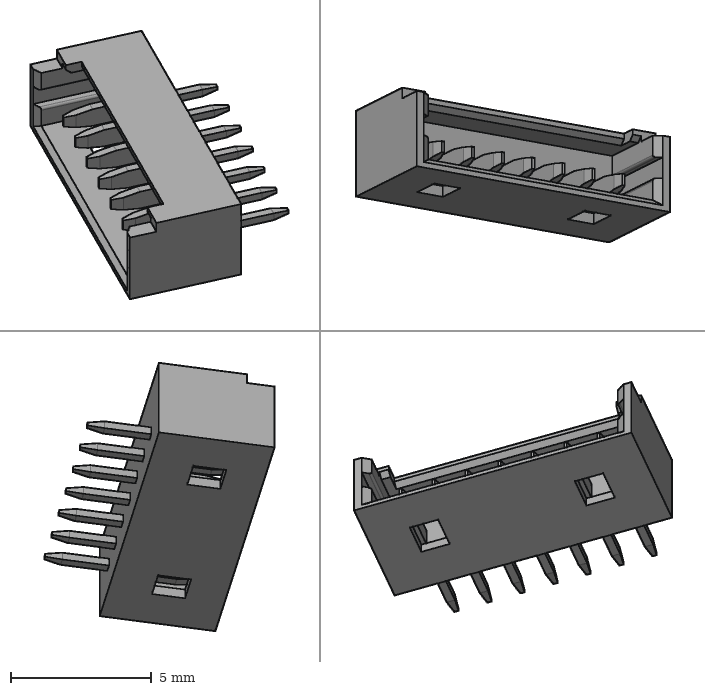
import cadquery as cq

LENGTH = 10.5
DEPTH = 4.2
HEIGHT = 3.2
BACK_WALL = 1.2
FLOOR = 0.4
ROOF = 0.4
SIDE_WALL = 0.6

LEAD_IN = 0.2
MOUTH_SIDE_WALL = 0.29

ROOF_SETBACK = 1.0
NOTCH_SETBACK = 1.6
EAR_LENGTH = 0.95

GROOVE_BOTTOM = 1.22
GROOVE_TOP = 2.0
GROOVE_LIP_RADIUS = 0.09

SLOT_WIDTH = 1.07
SLOT_FRONT = 1.43
SLOT_LENGTH = 1.2

PIN_COUNT = 7
PIN_PITCH = 1.25
PIN_Z = 1.15
PIN_WIDTH = 0.32
TAIL_LENGTH = 2.3
TAIL_TAPER = 0.6
TAIL_TIP_WIDTH = 0.16
TAIL_TIP_HEIGHT = 0.14
BLADE_HEIGHT = 0.76
BLADE_TIP_Y = 0.7
BLADE_TIP_WIDTH = 0.1
BLADE_TIP_HEIGHT = 0.42
BLADE_SIDE_TAPER = 0.42
BLADE_EDGE_TAPER = 1.05

CAVITY_BACK = DEPTH - BACK_WALL
CAVITY_TOP = HEIGHT - ROOF
CAVITY_WIDTH = LENGTH - 2 * SIDE_WALL
MOUTH_WIDTH = LENGTH - 2 * MOUTH_SIDE_WALL


def block(width, y_min, y_max, z_min, z_max, x_center=0.0):
    """Box centred on x_center, given by its limits in Y and Z."""
    return (
        cq.Workplane("XY")
        .box(width, y_max - y_min, z_max - z_min, centered=(True, False, False))
        .translate((x_center, y_min, z_min))
    )


def prism_along_x(width, yz_points):
    """Outline in the YZ plane, extruded symmetrically about X = 0."""
    return cq.Workplane("YZ").polyline(yz_points).close().extrude(width / 2, both=True)


def prism_along_z(height, xy_points):
    """Outline in the XY plane, extruded symmetrically about Z = 0."""
    return cq.Workplane("XY").polyline(xy_points).close().extrude(height / 2, both=True)


def mouth_lead_in():
    """Flare at the mating face, open at the top because the roof is set back."""
    mouth_floor = FLOOR - LEAD_IN
    flare_top = HEIGHT
    return (
        cq.Workplane("XZ")
        .center(0, (mouth_floor + flare_top) / 2)
        .rect(MOUTH_WIDTH, flare_top - mouth_floor)
        .workplane(offset=-LEAD_IN)
        .center(0, LEAD_IN / 2)
        .rect(CAVITY_WIDTH, flare_top - FLOOR)
        .loft()
    )


def roof_bevel(width, edge_y):
    """Bevel on the lower front edge of the roof."""
    bevel_points = [
        (edge_y, CAVITY_TOP),
        (edge_y, CAVITY_TOP + LEAD_IN),
        (edge_y + LEAD_IN, CAVITY_TOP),
    ]
    return prism_along_x(width, bevel_points)


def keying_grooves():
    """Both grooves as one wide bar, with the lips left by the rounded rib edges."""
    groove = block(MOUTH_WIDTH, 0, CAVITY_BACK, GROOVE_BOTTOM, GROOVE_TOP)
    for side in (-1, 1):
        for lip_z, inward in ((GROOVE_BOTTOM, 1), (GROOVE_TOP, -1)):
            rib_edge_x = side * CAVITY_WIDTH / 2
            lip = block(
                2 * GROOVE_LIP_RADIUS, 0, CAVITY_BACK,
                lip_z - GROOVE_LIP_RADIUS, lip_z + GROOVE_LIP_RADIUS, rib_edge_x,
            )
            round_edge = (
                cq.Workplane("XZ")
                .center(rib_edge_x + side * GROOVE_LIP_RADIUS, lip_z - inward * GROOVE_LIP_RADIUS)
                .circle(GROOVE_LIP_RADIUS)
                .extrude(-CAVITY_BACK)
            )
            groove = groove.union(lip.cut(round_edge))
    return groove


def housing():
    body = block(LENGTH, 0, DEPTH, 0, HEIGHT)
    body = body.cut(block(CAVITY_WIDTH, 0, CAVITY_BACK, FLOOR, CAVITY_TOP))
    body = body.cut(block(LENGTH, 0, ROOF_SETBACK, CAVITY_TOP, HEIGHT))
    notch_width = LENGTH - 2 * EAR_LENGTH
    body = body.cut(block(notch_width, 0, NOTCH_SETBACK, CAVITY_TOP, HEIGHT))
    body = body.cut(roof_bevel(CAVITY_WIDTH, ROOF_SETBACK))
    body = body.cut(roof_bevel(notch_width, NOTCH_SETBACK))
    body = body.cut(mouth_lead_in())
    body = body.cut(keying_grooves())
    slot_offset = (PIN_COUNT / 2 - 1) * PIN_PITCH
    for slot_x in (-slot_offset, slot_offset):
        body = body.cut(block(SLOT_WIDTH, SLOT_FRONT, SLOT_FRONT + SLOT_LENGTH, 0, FLOOR, slot_x))
    return body


def tapered_outline(half_base, half_tip, base_y, taper_y, tip_y):
    """Symmetric bar outline that narrows from taper_y to tip_y."""
    return [
        (-half_base, base_y),
        (-half_base, taper_y),
        (-half_tip, tip_y),
        (half_tip, tip_y),
        (half_base, taper_y),
        (half_base, base_y),
    ]


def tapered_bar(width, height, tip_width, tip_height, base_y, side_taper_y, edge_taper_y, tip_y):
    """Bar along Y that tapers both in width and in height."""
    plan = tapered_outline(width / 2, tip_width / 2, base_y, side_taper_y, tip_y)
    profile = tapered_outline(height / 2, tip_height / 2, base_y, edge_taper_y, tip_y)
    profile_yz = [(y, z) for z, y in profile]
    return prism_along_z(height, plan).intersect(prism_along_x(width, profile_yz))


def pin():
    """Flat blade inside the cavity with a square tail behind the housing."""
    root_y = CAVITY_BACK + BACK_WALL / 2
    blade = tapered_bar(
        PIN_WIDTH, BLADE_HEIGHT, BLADE_TIP_WIDTH, BLADE_TIP_HEIGHT,
        root_y, BLADE_TIP_Y + BLADE_SIDE_TAPER, BLADE_TIP_Y + BLADE_EDGE_TAPER, BLADE_TIP_Y,
    )
    tail_end = DEPTH + TAIL_LENGTH
    taper_y = tail_end - TAIL_TAPER
    tail = tapered_bar(
        PIN_WIDTH, PIN_WIDTH, TAIL_TIP_WIDTH, TAIL_TIP_HEIGHT, root_y, taper_y, taper_y, tail_end,
    )
    return blade.union(tail)


result = housing()
single_pin = pin()
for index in range(PIN_COUNT):
    pin_x = (index - (PIN_COUNT - 1) / 2) * PIN_PITCH
    result = result.union(single_pin.translate((pin_x, 0, PIN_Z)))